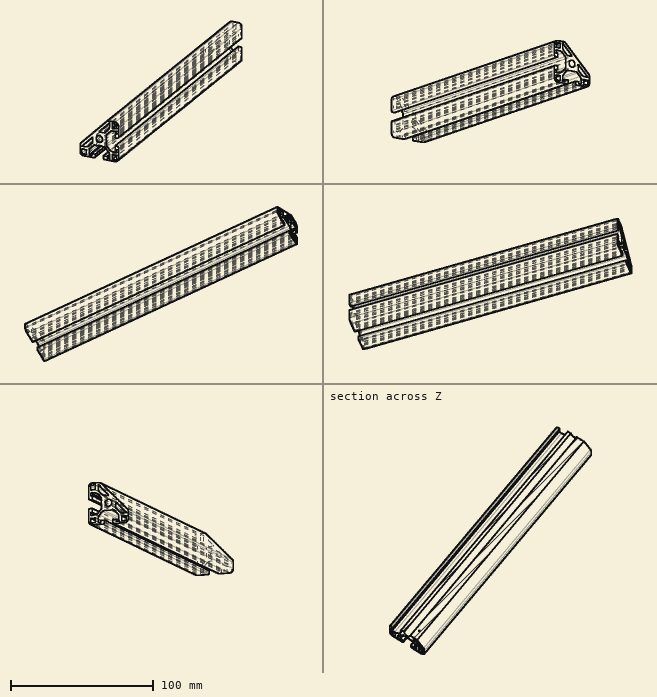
import cadquery as cq
import math


length = 200.0
side = 30.0

corner_radius = 3.0
slope_offset = 8.8

wall = 1.5
slope_wall = 2.2
block_wall = 2.2
cavity_width = 15.8
core_width = 10.5
bore_diameter = 5.0
web_offset = 1.5
root_radius = 4.0
core_radius = 2.0
tip_radius = 0.3
tube_radius = 0.8

slot_width = 6.2
lip_span = 12.0
lip_depth = 2.8
mouth_radius = 1.2

half = side / 2
skin = half - wall
block = cavity_width / 2
core = core_width / 2
slot = slot_width / 2
lip = lip_span / 2
tube_near = block + block_wall
pocket_offset = slope_offset - slope_wall * math.sqrt(2)


def extrude_centred(outline):
    return outline.extrude(length / 2, both=True)


def prism(points):
    """Extrude a closed polygon of (X, Z) points along the profile."""
    return extrude_centred(cq.Workplane("XZ").polyline(points).close())


def round_edges(shape, points, radius):
    """Fillet the lengthwise edges that run through the given (X, Z) points."""
    reach = 0.1
    for x, z in points:
        near_edge = cq.selectors.BoxSelector(
            (x - reach, -reach, z - reach),
            (x + reach, reach, z + reach),
        )
        shape = shape.edges(near_edge).fillet(radius)
    return shape


def outer_body():
    corners = [
        (-half, -half),
        (half, -half),
        (half, half),
        (half - slope_offset, half),
        (-half, slope_offset - half),
    ]
    return round_edges(prism(corners), corners, corner_radius)


def cavity():
    """Hollow between the two lower webs, from the core down to the outer wall."""
    root_z = -block - web_offset
    core_x = core - web_offset
    roots = [(block, root_z), (-block, root_z)]
    core_corners = [(core_x, -core), (-core_x, -core)]
    hollow = prism([
        (-block, -skin),
        (block, -skin),
        roots[0],
        core_corners[0],
        core_corners[1],
        roots[1],
    ])
    hollow = round_edges(hollow, roots, root_radius)
    return round_edges(hollow, core_corners, core_radius)


def mouth():
    """Gap between the lips, flared by the rounded outer lip corners."""
    lip_z = lip_depth - half
    round_z = mouth_radius - half
    flare = slot + mouth_radius
    arc_inset = mouth_radius * (1 - math.sqrt(0.5))
    outline = (
        cq.Workplane("XZ")
        .moveTo(-flare, -half)
        .lineTo(flare, -half)
        .threePointArc((slot + arc_inset, arc_inset - half), (slot, round_z))
        .lineTo(slot, lip_z)
        .lineTo(-slot, lip_z)
        .lineTo(-slot, round_z)
        .threePointArc((-slot - arc_inset, arc_inset - half), (-flare, -half))
        .close()
    )
    return extrude_centred(outline)


def bottom_slot():
    """Open T-slot: the cavity without the thick lips, plus the mouth."""
    lip_z = lip_depth - half
    lips = prism([(-lip, -half), (lip, -half), (lip, lip_z), (-lip, lip_z)])
    return cavity().cut(lips).union(mouth())


def lower_pocket():
    """Closed pocket between the lower left web, the core and the sloped wall."""
    root = (-block - web_offset, -block)
    core_corner = (-core, web_offset - core)
    tip = (-core, pocket_offset - core)
    pocket = prism([
        (-skin, -block),
        root,
        core_corner,
        tip,
        (-skin, pocket_offset - skin),
    ])
    pocket = round_edges(pocket, [root], root_radius)
    pocket = round_edges(pocket, [core_corner], core_radius)
    return round_edges(pocket, [tip], tip_radius)


def corner_tube(x_sign, z_sign):
    """Square hole through a corner block, rounded at its outer corner."""
    near_x, far_x = x_sign * tube_near, x_sign * skin
    near_z, far_z = z_sign * tube_near, z_sign * skin
    tube = prism([(near_x, near_z), (far_x, near_z), (far_x, far_z), (near_x, far_z)])
    return round_edges(tube, [(far_x, far_z)], tube_radius)


def reflect(shape):
    """Reflect across the profile's symmetry plane Z = -X."""
    return shape.rotate((0, 0, 0), (0, 1, 0), 90).mirror("YZ")


bore = extrude_centred(cq.Workplane("XZ").circle(bore_diameter / 2))
result = outer_body().cut(bore)

for hollow in (bottom_slot(), lower_pocket()):
    result = result.cut(hollow).cut(reflect(hollow))

for x_sign, z_sign in [(-1, -1), (1, -1), (1, 1)]:
    result = result.cut(corner_tube(x_sign, z_sign))